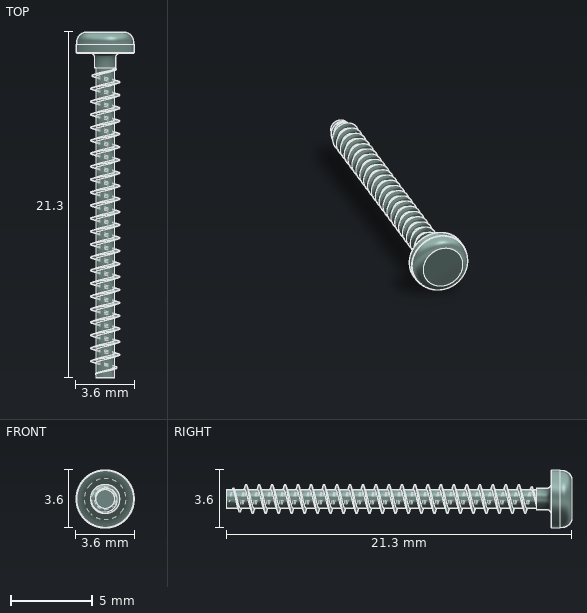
import cadquery as cq
import math


head_diameter = 3.6
head_height = 1.3
rim_height = 0.55
dome_base_diameter = 3.52
dome_top_diameter = 2.55
rim_edge_chamfer = 0.05

screw_length = 20.0
shank_diameter = 1.33
shank_length = 0.9
neck_fillet = 0.25
core_diameter = 1.16

thread_diameter = 1.8
pitch = 0.8
flank_angle = 30.0
crest_width = 0.02
root_overlap = 0.05
first_crest_at_x = 0.18
run_in_start = 0.6
run_in_end = 1.6
run_out_start = 18.95
run_out_end = 19.9
faded_height = 0.02
points_per_turn = 12

head_radius = head_diameter / 2
shank_radius = shank_diameter / 2
core_radius = core_diameter / 2
thread_radius = thread_diameter / 2
root_radius = core_radius - root_overlap


def make_head():
    """Revolve the head: a chamfered rim topped by a rounded dome."""
    dome_base_radius = dome_base_diameter / 2
    dome_top_radius = dome_top_diameter / 2
    dome_width = dome_base_radius - dome_top_radius
    dome_height = head_height - rim_height
    arc_middle = (
        dome_top_radius + dome_width * math.sqrt(0.5),
        rim_height + dome_height * math.sqrt(0.5),
    )
    return (
        cq.Workplane("XY")
        .lineTo(head_radius - rim_edge_chamfer, 0)
        .lineTo(head_radius, rim_edge_chamfer)
        .lineTo(head_radius, rim_height)
        .lineTo(dome_base_radius, rim_height)
        .threePointArc(arc_middle, (dome_top_radius, head_height))
        .lineTo(0, head_height)
        .close()
        .revolve(360, (0, 0, 0), (0, 1, 0))
    )


def make_shaft():
    """Revolve the filleted neck, the plain shank and the thinner core."""
    neck_radius = shank_radius + neck_fillet
    fillet_middle = (
        neck_radius - neck_fillet * math.sqrt(0.5),
        -neck_fillet + neck_fillet * math.sqrt(0.5),
    )
    return (
        cq.Workplane("XY")
        .lineTo(neck_radius, 0)
        .threePointArc(fillet_middle, (shank_radius, -neck_fillet))
        .lineTo(shank_radius, -shank_length)
        .lineTo(core_radius, -shank_length)
        .lineTo(core_radius, -screw_length)
        .lineTo(0, -screw_length)
        .close()
        .revolve(360, (0, 0, 0), (0, 1, 0))
    )


def make_thread_edge(start, end, start_radius, end_radius, start_offset, end_offset):
    """Right-handed helical edge along -Y from one distance below the head to another.

    The radius and the axial offset from the thread's middle line change evenly.
    """
    steps = math.ceil((end - start) / pitch * points_per_turn)

    def point(share):
        distance = start + share * (end - start)
        radius = start_radius + share * (end_radius - start_radius)
        offset = start_offset + share * (end_offset - start_offset)
        angle = 2 * math.pi * (distance - first_crest_at_x) / pitch
        return (radius * math.cos(angle), -distance + offset, radius * math.sin(angle))

    return cq.Edge.makeSpline([cq.Vector(*point(i / steps)) for i in range(steps + 1)])


def make_thread_stretch(start, end, start_crest_radius, end_crest_radius):
    """Solid ridge with a trapezoidal section whose height changes evenly along it."""
    flank_slope = math.tan(math.radians(flank_angle / 2))
    half_crest = crest_width / 2
    start_half_root = half_crest + (start_crest_radius - root_radius) * flank_slope
    end_half_root = half_crest + (end_crest_radius - root_radius) * flank_slope

    def root_edge(side):
        return make_thread_edge(
            start, end, root_radius, root_radius, side * start_half_root, side * end_half_root
        )

    def crest_edge(side):
        offset = side * half_crest
        return make_thread_edge(start, end, start_crest_radius, end_crest_radius, offset, offset)

    edges = [root_edge(-1), crest_edge(-1), crest_edge(1), root_edge(1)]
    faces = [cq.Face.makeRuledSurface(edges[i - 1], edges[i]) for i in range(len(edges))]
    start_corners = [edge.startPoint() for edge in edges]
    end_corners = [edge.endPoint() for edge in edges]
    for corners in (start_corners, end_corners):
        faces.append(cq.Face.makeFromWires(cq.Wire.makePolygon(corners, close=True)))
    return cq.Solid.makeSolid(cq.Shell.makeShell(faces))


def make_thread():
    """Stretches of thread in order: run-in, full height, run-out."""
    faded_radius = root_radius + faded_height
    return [
        make_thread_stretch(run_in_start, run_in_end, faded_radius, thread_radius),
        make_thread_stretch(run_in_end, run_out_start, thread_radius, thread_radius),
        make_thread_stretch(run_out_start, run_out_end, thread_radius, faded_radius),
    ]


screw = make_head().union(make_shaft())
for stretch in make_thread():
    screw = screw.union(cq.Workplane(obj=stretch))

result = screw.solids()